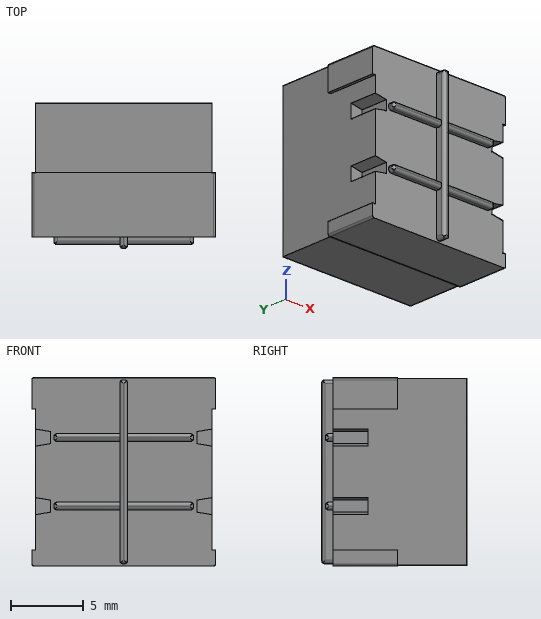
import cadquery as cq

OVERALL_WIDTH = 12.7
OVERALL_DEPTH = 10.03
OVERALL_HEIGHT = 13.0

BLOCK_WIDTH = 12.2
BLOCK_HEIGHT = 12.9
BLOCK_DEPTH = 4.8

PLATE_DEPTH = 4.45
PLATE_CORNER_RADIUS = 0.15
TOP_LUG_HEIGHT = 2.17
BOTTOM_LUG_HEIGHT = 1.11

RIB_WIDTH = 0.55
RIB_RADIUS = 0.25
TALL_RIB_LENGTH = 12.7
TALL_RIB_RISE = OVERALL_DEPTH - BLOCK_DEPTH - PLATE_DEPTH
CROSS_RIB_LENGTH = 9.65
CROSS_RIB_RISE = 0.52

LEVEL_SPACING = 4.73
LEVELS = (-LEVEL_SPACING / 2, LEVEL_SPACING / 2)

NOTCH_MOUTH_HEIGHT = 1.18
NOTCH_FLOOR_HEIGHT = 0.83
NOTCH_INSET = 1.05
NOTCH_DEPTH = 2.41



def box_from_front(width, height, depth, front_y):
    """Box centred on X and Z, running from front_y towards +Y."""
    return cq.Workplane("XY").box(width, depth, height).translate((0, front_y + depth / 2, 0))


def make_block():
    return box_from_front(BLOCK_WIDTH, BLOCK_HEIGHT, BLOCK_DEPTH, PLATE_DEPTH)


def make_plate():
    """Rounded plate with both sides cut back flush with the block between the lugs."""
    plate = box_from_front(OVERALL_WIDTH, OVERALL_HEIGHT, PLATE_DEPTH, 0)
    plate = plate.edges("|Y").fillet(PLATE_CORNER_RADIUS)
    relief_top = OVERALL_HEIGHT / 2 - TOP_LUG_HEIGHT
    relief_bottom = -OVERALL_HEIGHT / 2 + BOTTOM_LUG_HEIGHT
    relief_height = relief_top - relief_bottom
    relief_middle = (relief_top + relief_bottom) / 2
    relief = box_from_front(OVERALL_WIDTH, relief_height, PLATE_DEPTH, 0)
    relief = relief.cut(box_from_front(BLOCK_WIDTH, relief_height, PLATE_DEPTH, 0))
    return plate.cut(relief.translate((0, 0, relief_middle)))


def make_notch(side, level):
    """Trapezoidal pocket; side is -1 for the -X face and +1 for the +X face."""
    mouth_x = side * BLOCK_WIDTH / 2
    floor_x = side * (BLOCK_WIDTH / 2 - NOTCH_INSET)
    outline = [
        (mouth_x, level - NOTCH_MOUTH_HEIGHT / 2),
        (mouth_x, level + NOTCH_MOUTH_HEIGHT / 2),
        (floor_x, level + NOTCH_FLOOR_HEIGHT / 2),
        (floor_x, level - NOTCH_FLOOR_HEIGHT / 2),
    ]
    return cq.Workplane("XZ").polyline(outline).close().extrude(-NOTCH_DEPTH)


def make_rib(width, height, rise):
    """Bar standing on the front face, with equal rounds that meet in mitred corners."""
    bar = box_from_front(width, height, rise, -rise)
    rounded_corners = bar.edges("|Y").fillet(RIB_RADIUS)
    rounded_upright_edges = bar.edges("<Y and |Z").fillet(RIB_RADIUS)
    rounded_level_edges = bar.edges("<Y and |X").fillet(RIB_RADIUS)
    return rounded_corners.intersect(rounded_upright_edges).intersect(rounded_level_edges)


result = make_block().union(make_plate())
for level in LEVELS:
    for side in (-1, 1):
        result = result.cut(make_notch(side, level))
    cross_rib = make_rib(CROSS_RIB_LENGTH, RIB_WIDTH, CROSS_RIB_RISE)
    result = result.union(cross_rib.translate((0, 0, level)))
result = result.union(make_rib(RIB_WIDTH, TALL_RIB_LENGTH, TALL_RIB_RISE))